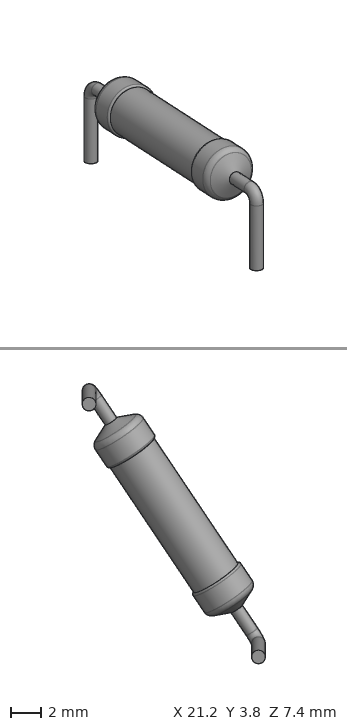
import cadquery as cq
import math

overall_length = 21.22

lead_diameter = 0.91
bend_radius = 0.8
lead_drop = 5.5
lead_x = (overall_length - lead_diameter) / 2

body_diameter = 3.5
body_length = 10.05

cap_diameter = 3.8
cap_length = 2.5
cap_nose_diameter = lead_diameter
cone_length = 0.68
shoulder_radius = 0.5
cap_rim_radius = (cap_diameter - body_diameter) / 2

cap_inner_x = body_length / 2
cap_outer_x = cap_inner_x + cap_length


def make_body():
    """Plain cylinder between the two caps."""
    left_end = cq.Workplane("YZ", origin=(-body_length / 2, 0, 0))
    return left_end.circle(body_diameter / 2).extrude(body_length)


def make_cap():
    """Cap on the +X end: a cylinder with a rounded rim and a conical nose."""
    shoulder_x = cap_outer_x - cone_length
    blank = (
        cq.Workplane("XY")
        .moveTo(cap_inner_x, 0)
        .lineTo(cap_inner_x, cap_diameter / 2)
        .lineTo(shoulder_x, cap_diameter / 2)
        .lineTo(cap_outer_x, cap_nose_diameter / 2)
        .lineTo(cap_outer_x, 0)
        .close()
        .revolve(360, (0, 0, 0), (1, 0, 0))
    )
    rounded = blank.faces("%CONE").edges("%CIRCLE").edges("<X").fillet(shoulder_radius)
    return rounded.faces("<X").edges("%CIRCLE").fillet(cap_rim_radius)


def make_lead():
    """Bent wire on the +X end, from the cap nose down to the tip."""
    bend_start_x = lead_x - bend_radius
    bend_mid = (
        bend_start_x + bend_radius * math.sin(math.pi / 4),
        -bend_radius + bend_radius * math.cos(math.pi / 4),
    )
    path = (
        cq.Workplane("XZ")
        .moveTo(cap_outer_x, 0)
        .lineTo(bend_start_x, 0)
        .threePointArc(bend_mid, (lead_x, -bend_radius))
        .lineTo(lead_x, -lead_drop)
    )
    return cq.Workplane("YZ", origin=(cap_outer_x, 0, 0)).circle(lead_diameter / 2).sweep(path)


body = make_body()
caps = []
leads = []
for angle in (0, 180):
    caps.append(make_cap().rotate((0, 0, 0), (0, 0, 1), angle).val())
    leads.append(make_lead().rotate((0, 0, 0), (0, 0, 1), angle).val())

result = cq.Compound.makeCompound([body.val(), *caps, *leads])